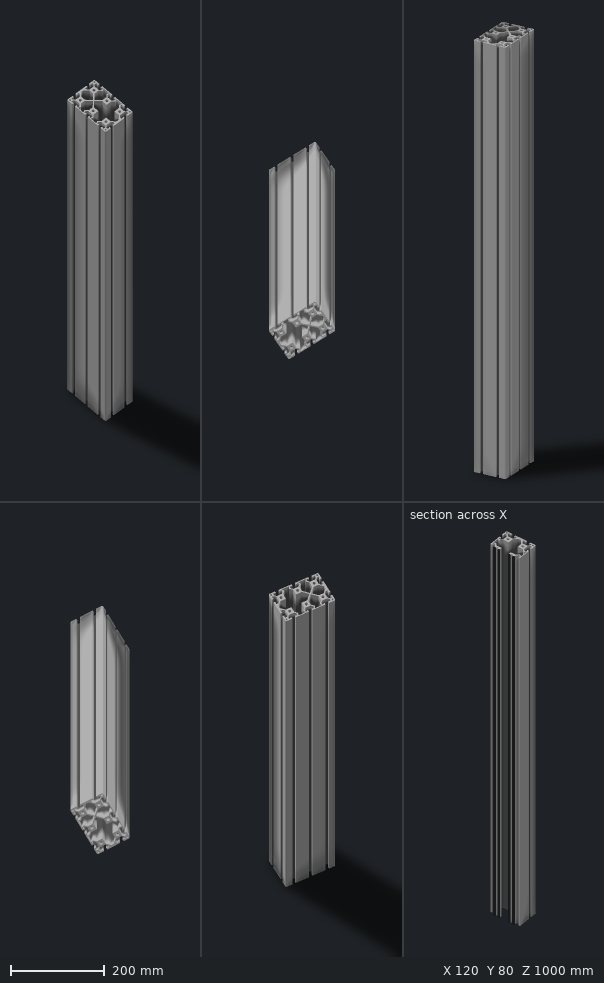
import cadquery as cq
import math

LENGTH = 1000.0
WIDTH = 120.0
HEIGHT = 80.0
HALF_WIDTH = WIDTH / 2
HALF_HEIGHT = HEIGHT / 2
CORNER_RADIUS = 3.0

MODULE = HEIGHT / 2
CORE_COLUMNS = (-MODULE, 0.0, MODULE)
CORE_ROWS = (-MODULE / 2, MODULE / 2)
CORE_HALF = 7.8
CORE_HOLE_DIAMETER = 6.8

SLOT_OPENING = 8.2
SLOT_HALF_WIDTH = 10.5
LIP_EDGE_THICKNESS = 4.5
LIP_ROOT_THICKNESS = 3.0
SLOT_TAPER_START = 8.0
SLOT_DEPTH = MODULE / 2 - CORE_HALF
SLOT_FLOOR_HALF = SLOT_HALF_WIDTH - (SLOT_DEPTH - SLOT_TAPER_START)

LONG_WALL = 2.0
SHORT_WALL = 5.0
WEB_WIDTH = 3.5
STRUT_THICKNESS = 2.8
CAVITY_ROOF_HALF = 8.5

CORNER_WALL = 2.5
CORNER_HOLLOW = 4.0

GAP_HALF = MODULE / 2 - CORE_HALF
WEB_GAP_HALF = MODULE / 2 - SLOT_HALF_WIDTH - WEB_WIDTH
WEB_SPREAD = GAP_HALF - WEB_GAP_HALF
STRUT_EDGE = STRUT_THICKNESS / math.sqrt(2)
CROSSING_OFFSET = MODULE / 2


def prism(points):
    """Full-length prism on a closed outline."""
    return cq.Workplane("XY").polyline(points).close().extrude(LENGTH)


def mirrored_in_x(half_outline):
    """Whole outline from its +X half."""
    return half_outline + [(-x, y) for x, y in reversed(half_outline) if x > 0]


def mirrored_in_y(half_outline):
    """Whole outline from its +Y half."""
    return half_outline + [(x, -y) for x, y in reversed(half_outline) if y > 0]


def slot_cutter(x, y, angle):
    """T-slot whose mouth is at (x, y); at angle 0 it opens toward +Y."""
    half_outline = [
        (SLOT_FLOOR_HALF, -SLOT_DEPTH),
        (SLOT_HALF_WIDTH, -SLOT_TAPER_START),
        (SLOT_HALF_WIDTH, -LIP_ROOT_THICKNESS),
        (SLOT_OPENING / 2, -LIP_EDGE_THICKNESS),
        (SLOT_OPENING / 2, 0),
    ]
    cutter = prism(mirrored_in_x(half_outline))
    return cutter.rotate((0, 0, 0), (0, 0, 1), angle).translate((x, y, 0))


def long_side_cavity(floor):
    """Cavity behind the +Y wall, centred on X = 0; floor is the lower end of its +X half."""
    taper_y = HALF_HEIGHT - SLOT_TAPER_START
    half_outline = floor + [
        (GAP_HALF, taper_y - WEB_SPREAD),
        (WEB_GAP_HALF, taper_y),
        (CAVITY_ROOF_HALF, HALF_HEIGHT - LONG_WALL),
    ]
    return prism(mirrored_in_x(half_outline))


def short_side_cavity(crossing_x):
    """Cavity from behind the -X wall to the left edges of struts crossing at crossing_x."""
    wall_x = -HALF_WIDTH + SHORT_WALL
    taper_x = -HALF_WIDTH + SLOT_TAPER_START
    tip_half = WEB_GAP_HALF - (taper_x - wall_x)
    strut_tip_x = crossing_x - STRUT_EDGE
    half_outline = [
        (wall_x, tip_half),
        (taper_x + WEB_SPREAD, GAP_HALF),
        (strut_tip_x - GAP_HALF, GAP_HALF),
        (strut_tip_x, 0),
    ]
    return prism(mirrored_in_y(half_outline))


def cut_slots(body):
    for x in CORE_COLUMNS:
        body = body.cut(slot_cutter(x, HALF_HEIGHT, 0))
        body = body.cut(slot_cutter(x, -HALF_HEIGHT, 180))
    for y in CORE_ROWS:
        body = body.cut(slot_cutter(-HALF_WIDTH, y, 90))
        body = body.cut(slot_cutter(HALF_WIDTH, y, -90))
    return body


def cut_left_cavities(body):
    """Cavities above, below and to the left of the crossed struts."""
    strut_floor = [(0, STRUT_EDGE), (GAP_HALF, GAP_HALF + STRUT_EDGE)]
    upper = long_side_cavity(strut_floor).translate((-CROSSING_OFFSET, 0, 0))
    left = short_side_cavity(-CROSSING_OFFSET)
    return body.cut(upper).cut(upper.mirror("XZ")).cut(left)


def cut_right_cavity(body):
    """One open cavity filling everything to the right of the crossed struts."""
    upper = long_side_cavity([(GAP_HALF, 0)]).translate((MODULE / 2, 0, 0))
    middle = short_side_cavity(CROSSING_OFFSET).mirror("YZ")
    return body.cut(upper).cut(upper.mirror("XZ")).cut(middle)


def cut_core_holes(body):
    centres = [(x, y) for x in CORE_COLUMNS for y in CORE_ROWS]
    holes = cq.Workplane("XY").pushPoints(centres).circle(CORE_HOLE_DIAMETER / 2).extrude(LENGTH)
    return body.cut(holes)


def cut_corner_hollows(body):
    inset = CORNER_WALL + CORNER_HOLLOW / 2
    hollows = (
        cq.Workplane("XY")
        .rect(WIDTH - 2 * inset, HEIGHT - 2 * inset, forConstruction=True)
        .vertices()
        .rect(CORNER_HOLLOW, CORNER_HOLLOW)
        .extrude(LENGTH)
    )
    return body.cut(hollows)


bar = cq.Workplane("XY").rect(WIDTH, HEIGHT).extrude(LENGTH).edges("|Z").fillet(CORNER_RADIUS)
bar = cut_slots(bar)
bar = cut_left_cavities(bar)
bar = cut_right_cavity(bar)
bar = cut_core_holes(bar)
result = cut_corner_hollows(bar)